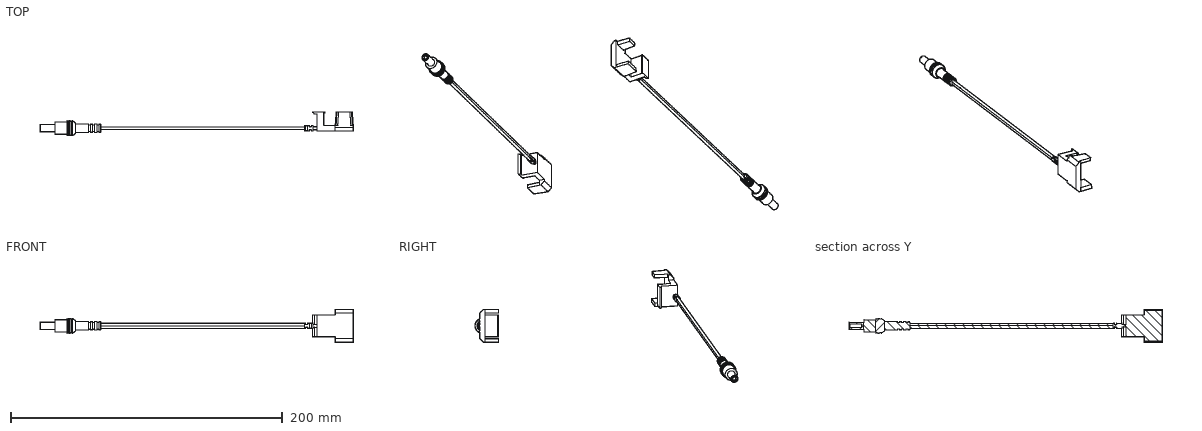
import cadquery as cq

TOTAL_LENGTH = 230.4

BARREL_RADIUS = 2.8
BORE_RADIUS = 1.2
BORE_DEPTH = 9.2
BORE_CHAMFER = 0.7
HOUSING_START = 10.8
HOUSING_RADIUS = 4.5
COLLAR_START = 19.5
COLLAR_LENGTH = 6.5
COLLAR_RADIUS = 5.5
COLLAR_VALLEY_RADIUS = 5.0
COLLAR_VALLEY_WIDTH = 1.5
COLLAR_LAND = 1.0
COLLAR_END_RADIUS = 4.0
RELIEF_END = 45.0
RELIEF_RADIUS = 3.2
RELIEF_CHAMFER = 0.7
RELIEF_GROOVE_STARTS = (35.7, 38.5, 42.0)
RELIEF_GROOVE_RADIUS = 2.5

FLEX_CUT_WIDTH = 1.4

WIRE_RADIUS = 1.04

SLEEVE_START = 194.5
SLEEVE_LENGTH = 6.5
SLEEVE_RADIUS = 2.0
SLEEVE_CORE_RADIUS = 1.2
SLEEVE_FIRST_SLOT = 195.4
SLEEVE_SLOT_PITCH = 2.8

PLATE_FRONT = -2.0
PLATE_THICKNESS = 4.1
CLIP_TOP = 12.0
WALL_START = 203.6
WALL_THICKNESS = 5.0
WALL_HALF_WIDTH = 8.0
HOOK_REACH = 3.5
HOOK_THICKNESS = 1.5
HOOK_SLOPE = 1.5
BEAD_REACH = 0.7
BEAD_HEIGHT = 0.7
WING_LENGTH = 13.4
WING_HALF_WIDTH = 12.1
WING_CHAMFER = 2.8
TONGUE_THICKNESS = 2.8
TONGUE_TAPER = 0.7
TONGUE_SIDE_SLOPE = 0.7
UPPER_TONGUE_HALF_WIDTH = 4.8
LOWER_TONGUE_HALF_WIDTH = 6.7

COLLAR_END = COLLAR_START + COLLAR_LENGTH
PLATE_BACK = PLATE_FRONT + PLATE_THICKNESS
WING_MIDDLE = TOTAL_LENGTH - WING_LENGTH / 2


def cylinder(start, end, radius, z=0.0):
    """Round bar along X."""
    return cq.Workplane("YZ", origin=(start, 0, z)).circle(radius).extrude(end - start)


def slot_cutter(start, radius, half_web, turn):
    """Two blocks that cut a slot into opposite sides of a round bar, above and below at zero turn."""
    depth = radius - half_web
    offset = half_web + depth / 2
    block = cq.Workplane("XY").box(FLEX_CUT_WIDTH, 2 * radius, depth)
    cutter = block.translate((0, 0, offset)).add(block.translate((0, 0, -offset))).combine()
    return cutter.rotate((0, 0, 0), (1, 0, 0), turn).translate((start + FLEX_CUT_WIDTH / 2, 0, 0))


def make_barrel():
    """Contact barrel with a blind bore that is chamfered at its mouth."""
    barrel = cylinder(0, HOUSING_START, BARREL_RADIUS).cut(cylinder(0, BORE_DEPTH, BORE_RADIUS))
    mouth = cq.Solid.makeCone(
        BORE_RADIUS + BORE_CHAMFER, BORE_RADIUS, BORE_CHAMFER, cq.Vector(0, 0, 0), cq.Vector(1, 0, 0)
    )
    return barrel.cut(cq.Workplane(mouth))


def make_housing():
    return cylinder(HOUSING_START, COLLAR_START, HOUSING_RADIUS)


def make_collar():
    """Two shallow V grooves parted by a land, then a cone down to the strain relief."""
    half_valley = COLLAR_VALLEY_WIDTH / 2
    second_valley = COLLAR_START + COLLAR_VALLEY_WIDTH + COLLAR_LAND
    crest = second_valley + COLLAR_VALLEY_WIDTH
    profile = (
        cq.Workplane("XY")
        .moveTo(COLLAR_START, 0)
        .lineTo(COLLAR_START, COLLAR_RADIUS)
        .lineTo(COLLAR_START + half_valley, COLLAR_VALLEY_RADIUS)
        .lineTo(COLLAR_START + COLLAR_VALLEY_WIDTH, COLLAR_RADIUS)
        .lineTo(second_valley, COLLAR_RADIUS)
        .lineTo(second_valley + half_valley, COLLAR_VALLEY_RADIUS)
        .lineTo(crest, COLLAR_RADIUS)
        .lineTo(COLLAR_END, COLLAR_END_RADIUS)
        .lineTo(COLLAR_END, 0)
        .close()
    )
    return profile.revolve(360, (0, 0, 0), (1, 0, 0))


def make_strain_relief():
    """Round sleeve with flex grooves around it and a chamfered end."""
    relief = cylinder(COLLAR_END, RELIEF_END, RELIEF_RADIUS).faces(">X").chamfer(RELIEF_CHAMFER)
    for start in RELIEF_GROOVE_STARTS:
        end = start + FLEX_CUT_WIDTH
        core = cylinder(start, end, RELIEF_GROOVE_RADIUS)
        relief = relief.cut(cylinder(start, end, RELIEF_RADIUS).cut(core))
    return relief


def make_wire(side):
    return cylinder(RELIEF_END, SLEEVE_START, WIRE_RADIUS, side * WIRE_RADIUS)


def make_sleeve():
    """Sleeve with two crossed flex slots, on a core that reaches the clip."""
    sleeve = cylinder(SLEEVE_START, SLEEVE_START + SLEEVE_LENGTH, SLEEVE_RADIUS)
    for index, turn in enumerate((0, 90)):
        start = SLEEVE_FIRST_SLOT + index * SLEEVE_SLOT_PITCH
        sleeve = sleeve.cut(slot_cutter(start, SLEEVE_RADIUS, SLEEVE_CORE_RADIUS, turn))
    return sleeve.union(cylinder(SLEEVE_START, WALL_START, SLEEVE_CORE_RADIUS))


def make_wall_and_plate():
    """L-shaped section with the hook outside and the bead inside the wall's free edge."""
    wall_back = WALL_START + WALL_THICKNESS
    hook_bottom = CLIP_TOP - HOOK_THICKNESS
    hook_tip = WALL_START - HOOK_REACH
    outline = [
        (WALL_START, PLATE_FRONT),
        (TOTAL_LENGTH, PLATE_FRONT),
        (TOTAL_LENGTH, PLATE_BACK),
        (wall_back, PLATE_BACK),
        (wall_back, CLIP_TOP - BEAD_HEIGHT),
        (wall_back + BEAD_REACH, CLIP_TOP - BEAD_HEIGHT),
        (wall_back + BEAD_REACH, CLIP_TOP),
        (hook_tip, CLIP_TOP),
        (hook_tip + HOOK_SLOPE, hook_bottom),
        (WALL_START, hook_bottom),
    ]
    section = cq.Workplane("XY").polyline(outline).close()
    return section.extrude(WALL_HALF_WIDTH, both=True)


def make_wings():
    """Wider end of the plate, chamfered along both front edges."""
    return (
        cq.Workplane("XY")
        .box(WING_LENGTH, PLATE_THICKNESS, 2 * WING_HALF_WIDTH)
        .translate((WING_MIDDLE, (PLATE_FRONT + PLATE_BACK) / 2, 0))
        .edges("<Y and |X")
        .chamfer(WING_CHAMFER)
    )


def tongue_outline(z, half_width):
    """Trapezoid that narrows from the plate toward the tongue's tip."""
    tip_half_width = half_width - TONGUE_TAPER
    points = [
        (WING_MIDDLE - half_width, PLATE_BACK),
        (WING_MIDDLE + half_width, PLATE_BACK),
        (WING_MIDDLE + tip_half_width, CLIP_TOP),
        (WING_MIDDLE - tip_half_width, CLIP_TOP),
    ]
    return cq.Wire.makePolygon([cq.Vector(x, y, z) for x, y in points], close=True)


def make_tongue(side, half_width):
    """Tongue on one wing, wider on its outer face than on its inner face."""
    outer = tongue_outline(side * WING_HALF_WIDTH, half_width)
    inner = tongue_outline(side * (WING_HALF_WIDTH - TONGUE_THICKNESS), half_width - TONGUE_SIDE_SLOPE)
    return cq.Workplane(cq.Solid.makeLoft([inner, outer], True))


def make_clip():
    upper_tongue = make_tongue(1, UPPER_TONGUE_HALF_WIDTH)
    lower_tongue = make_tongue(-1, LOWER_TONGUE_HALF_WIDTH)
    return make_wall_and_plate().union(make_wings()).union(upper_tongue).union(lower_tongue)


barrel = make_barrel()
housing = make_housing()
collar = make_collar()
strain_relief = make_strain_relief()
wires = [make_wire(side) for side in (1, -1)]
sleeve = make_sleeve()
clip = make_clip()

result = cq.Compound.makeCompound(
    [
        barrel.val(),
        housing.val(),
        collar.val(),
        strain_relief.val(),
        *[wire.val() for wire in wires],
        sleeve.val(),
        clip.val(),
    ]
)